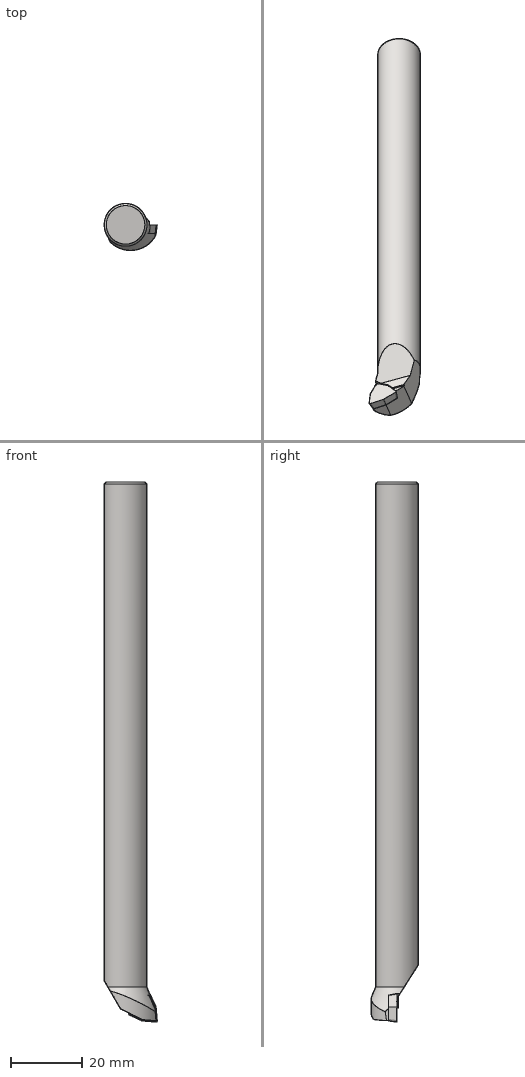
import cadquery as cq
import math


shank_diameter = 11.98
shank_radius = shank_diameter / 2
total_length = 151.25
end_chamfer = 0.6
shank_bottom_z = 9.8

inscribed_radius = 3.175
insert_thickness = 2.38
nose_radius = 0.4
clearance_angle = 7
half_nose_angle = math.radians(80 / 2)
half_blunt_angle = math.radians(160 / 2)
cutting_nose_direction = -45
nose_spacing = 120
blunt_offset = nose_spacing / 2
tip_reach = 8.9

flare_angle = math.radians(23)
envelope_radius = 8.0
envelope_x = 1.4
head_back_y = -7.2
envelope_y = head_back_y + envelope_radius
head_relief = 0.4
upper_flank_top_z = 11.6
upper_flank_angle = math.radians(60)
flank_corner_z = 3.7
pocket_face_y = 0.4
pocket_face_top_z = 7.2
ramp_top_z = 16.0
rake_step_z = 3.9
margin = 10.0

nose_centre_distance = (inscribed_radius - nose_radius) / math.sin(half_nose_angle)
centre_inset = nose_centre_distance * math.cos(math.radians(cutting_nose_direction)) + nose_radius
insert_x = tip_reach - centre_inset
insert_z = centre_inset


def around_insert(distance, direction):
    """XZ point at a distance and direction (degrees) from the insert's centre."""
    angle = math.radians(direction)
    return (insert_x + distance * math.cos(angle), insert_z + distance * math.sin(angle))


def trigon_prism(height, taper):
    """Trigon extruded from the rake plane towards -Y (or +Y for a negative height), noses rounded."""
    corners = []
    for nose_number in range(3):
        direction = cutting_nose_direction + nose_number * nose_spacing
        corners.append(around_insert(inscribed_radius / math.sin(half_nose_angle), direction))
        corners.append(around_insert(inscribed_radius / math.sin(half_blunt_angle), direction + blunt_offset))
    prism = cq.Workplane("XZ").polyline(corners).close().extrude(height, taper=taper)
    for nose_x, nose_z in corners[::2]:
        nose_edge = cq.selectors.NearestToPointSelector((nose_x, -height / 2, nose_z))
        prism = prism.edges("not #Y").edges(nose_edge).fillet(nose_radius)
    return prism


def make_shank():
    shank = cq.Workplane("XY").workplane(offset=shank_bottom_z).circle(shank_radius)
    return shank.extrude(total_length - shank_bottom_z).faces(">Z").chamfer(end_chamfer)


def make_flared_head():
    """Cone growing downward from the shank, limited by the round envelope."""
    flare_radius = shank_radius + shank_bottom_z * math.tan(flare_angle)
    half_section = [(0, 0), (flare_radius, 0), (shank_radius, shank_bottom_z), (0, shank_bottom_z)]
    axis_start = (0, 0, 0)
    axis_end = (0, 1, 0)
    cone = cq.Workplane("XZ").polyline(half_section).close().revolve(360, axis_start, axis_end)
    envelope = cq.Workplane("XY").center(envelope_x, envelope_y).circle(envelope_radius)
    return cone.intersect(envelope.extrude(shank_bottom_z))


def make_flank_limit():
    """Prism along Y that keeps the bar inside its flanks, parallel to the insert's lower edges."""
    relief_radius = inscribed_radius - head_relief
    tip = around_insert(relief_radius / math.sin(half_nose_angle), cutting_nose_direction)
    blunt_distance = relief_radius / math.sin(half_blunt_angle)
    lower_blunt = around_insert(blunt_distance, cutting_nose_direction - blunt_offset)
    right_blunt = around_insert(blunt_distance, cutting_nose_direction + blunt_offset)
    flank_rise = upper_flank_top_z - flank_corner_z
    flank_corner = (-shank_radius + flank_rise / math.tan(upper_flank_angle), flank_corner_z)
    nose_side_lean = (tip[0] - right_blunt[0]) / (right_blunt[1] - tip[1])
    nose_side_top = (tip[0] - nose_side_lean * (shank_bottom_z - tip[1]), shank_bottom_z)
    top_z = total_length + margin
    outline = [
        tip, nose_side_top, (nose_side_top[0], top_z), (-shank_radius, top_z),
        (-shank_radius, upper_flank_top_z), flank_corner, lower_blunt,
    ]
    return cq.Workplane("XZ").polyline(outline).close().extrude(margin, both=True)


def make_chip_clearance():
    """Everything in front (+Y) of the rake step, the pocket face and the ramp up to the shank."""
    outline = [
        (0, -margin), (0, rake_step_z), (pocket_face_y, rake_step_z),
        (pocket_face_y, pocket_face_top_z), (shank_radius, ramp_top_z),
        (margin, ramp_top_z), (margin, -margin),
    ]
    return cq.Workplane("YZ").polyline(outline).close().extrude(2 * margin, both=True)


insert = trigon_prism(insert_thickness, clearance_angle).solids()

bar = make_shank().union(make_flared_head())
bar = bar.intersect(make_flank_limit()).cut(make_chip_clearance())
bar = bar.cut(insert).cut(trigon_prism(-margin, 0)).solids()

result = cq.Compound.makeCompound([bar.val(), insert.val()])